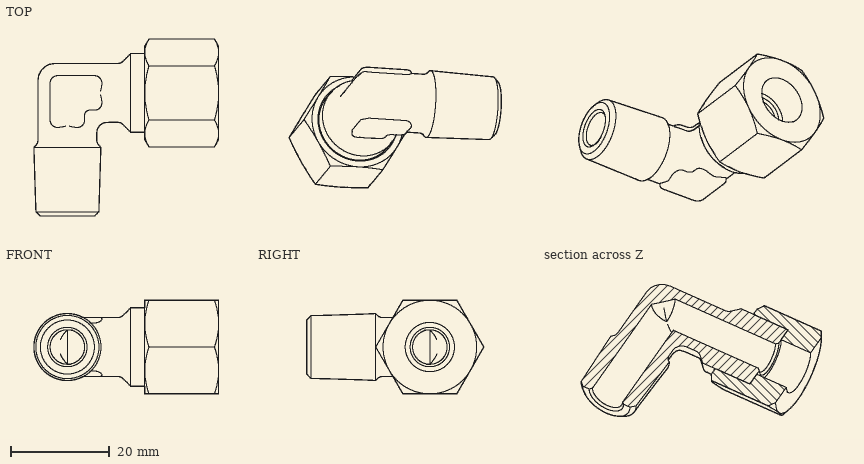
import cadquery as cq
import math


pipe_radius = 6.0
bore_radius = 3.5
drill_point_length = 3.4
bend_outer_radius = 3.5
bend_centre = pipe_radius - bend_outer_radius
crotch_fillet = 2.0
crotch_web_reach = 9.0
crotch_web_height = 5.3
shoulder_fillet = 1.5
shoulder_angle = math.radians(45)
half_shoulder_angle = shoulder_angle / 2

stud_length = 25.0
stud_start = 11.03
stud_radius = 6.82
stud_taper = 1 / 32
stud_end_chamfer = 0.9
bore_mouth_chamfer = 0.5

spigot_start = 12.85
spigot_radius = 8.0
spigot_length = 11.0
spigot_end = spigot_start + spigot_length

pad_height = pipe_radius
pad_back = 3.5
pad_reach = 7.0
pad_corner_radius = 1.5
pad_notch_radius = 1.0
pad_edge_fillet = 0.35

nut_across_flats = 19.0
nut_across_corners = nut_across_flats / math.cos(math.radians(30))
nut_length = 15.0
nut_start = 15.69
nut_end = nut_start + nut_length
nut_chamfer_angle = math.radians(30)
nut_mouth_chamfer = 0.27
tube_hole_radius = 5.0


def shouldered_leg(start, shoulder_end, shoulder_radius, outline_after):
    """Solid leg along +X: pipe, fillet into a conical shoulder, then the given (x, r) outline points."""
    corner = shoulder_end - (shoulder_radius - pipe_radius) / math.tan(shoulder_angle)
    tangent_length = shoulder_fillet * math.tan(half_shoulder_angle)
    fillet_start = corner - tangent_length
    fillet_mid = (
        fillet_start + shoulder_fillet * math.sin(half_shoulder_angle),
        pipe_radius + shoulder_fillet * (1 - math.cos(half_shoulder_angle)),
    )
    fillet_end = (
        fillet_start + shoulder_fillet * math.sin(shoulder_angle),
        pipe_radius + shoulder_fillet * (1 - math.cos(shoulder_angle)),
    )
    profile = (
        cq.Workplane("XY")
        .moveTo(start, 0)
        .lineTo(start, pipe_radius)
        .lineTo(fillet_start, pipe_radius)
        .threePointArc(fillet_mid, fillet_end)
        .lineTo(shoulder_end, shoulder_radius)
    )
    for point in outline_after:
        profile = profile.lineTo(*point)
    end = outline_after[-1][0]
    return profile.lineTo(end, 0).close().revolve(360, (0, 0, 0), (1, 0, 0))


def onto_stud_axis(leg):
    """Turn a leg built along +X onto -Y."""
    return leg.rotate((0, 0, 0), (0, 0, 1), -90)


def bend_corner():
    """Rounded outer corner: the outer part of the pipe section swung a quarter turn between the legs."""
    half_height = math.sqrt(pipe_radius**2 - bend_centre**2)
    return (
        cq.Workplane("XZ", origin=(-bend_centre, bend_centre, 0))
        .moveTo(0, -half_height)
        .threePointArc((-bend_outer_radius, 0), (0, half_height))
        .close()
        .revolve(90, (0, 0, 0), (0, -1, 0))
    )


def crotch_web():
    """Filleted inner corner between the pipes, cut off level where the pads hide its ends."""
    pipe = cq.Workplane("YZ").circle(pipe_radius).extrude(crotch_web_reach)
    slab_side = 4 * crotch_web_reach
    slab = cq.Workplane("XY").box(slab_side, slab_side, 2 * crotch_web_height)
    crossed_pipes = pipe.union(onto_stud_axis(pipe)).intersect(slab)
    crotch_region = cq.selectors.BoxSelector(
        (pad_back, -pad_back, -crotch_web_height),
        (pipe_radius, -pipe_radius, crotch_web_height),
    )
    return crossed_pipes.edges("%ELLIPSE").edges(crotch_region).fillet(crotch_fillet)


def pad_blank():
    """L-shaped block whose top and bottom faces are the two pads."""
    blank = (
        cq.Workplane("XY", origin=(0, 0, -pad_height))
        .moveTo(-pad_back, pad_back)
        .lineTo(pad_reach, pad_back)
        .lineTo(pad_reach, -pad_back)
        .lineTo(pad_back, -pad_back)
        .lineTo(pad_back, -pad_reach)
        .lineTo(-pad_back, -pad_reach)
        .close()
        .extrude(2 * pad_height)
    )
    notch = cq.selectors.NearestToPointSelector((pad_back, -pad_back, 0))
    blank = blank.edges(notch).fillet(pad_notch_radius)
    for corner in [
        (-pad_back, pad_back),
        (pad_reach, pad_back),
        (pad_reach, -pad_back),
        (pad_back, -pad_reach),
        (-pad_back, -pad_reach),
    ]:
        nearest = cq.selectors.NearestToPointSelector((*corner, 0))
        blank = blank.edges(nearest).fillet(pad_corner_radius)
    return blank.faces("|Z").edges().fillet(pad_edge_fillet)


def drilled_bore(length, mouth_chamfer):
    """Bore along +X out to the given length, with a conical drill point behind the origin."""
    profile = (
        cq.Workplane("XY")
        .moveTo(-drill_point_length, 0)
        .lineTo(0, bore_radius)
        .lineTo(length - mouth_chamfer, bore_radius)
        .lineTo(length, bore_radius + mouth_chamfer)
        .lineTo(length, 0)
        .close()
    )
    return profile.revolve(360, (0, 0, 0), (1, 0, 0))


def make_elbow():
    stud_end_radius = stud_radius - (stud_length - stud_start) * stud_taper
    stud_outline = [
        (stud_length - stud_end_chamfer, stud_end_radius + stud_end_chamfer * stud_taper),
        (stud_length, stud_end_radius - stud_end_chamfer),
    ]
    stud_leg = onto_stud_axis(shouldered_leg(-bend_centre, stud_start, stud_radius, stud_outline))
    threaded_leg = shouldered_leg(-bend_centre, spigot_start, spigot_radius, [(spigot_end, spigot_radius)])
    body = threaded_leg.union(stud_leg).union(bend_corner()).union(crotch_web()).union(pad_blank())

    stud_bore = onto_stud_axis(drilled_bore(stud_length, bore_mouth_chamfer))
    threaded_bore = drilled_bore(spigot_end, bore_mouth_chamfer)
    return body.cut(stud_bore.union(threaded_bore))


def make_nut():
    hexagon = (
        cq.Workplane("YZ", origin=(nut_start, 0, 0))
        .polygon(6, nut_across_corners)
        .extrude(nut_length)
    )

    face_radius = nut_across_flats / 2
    corner_radius = nut_across_corners / 2
    chamfer_depth = (corner_radius - face_radius) * math.tan(nut_chamfer_angle)
    chamfer_envelope = (
        cq.Workplane("XY")
        .moveTo(nut_start, 0)
        .lineTo(nut_start, face_radius)
        .lineTo(nut_start + chamfer_depth, corner_radius)
        .lineTo(nut_end - chamfer_depth, corner_radius)
        .lineTo(nut_end, face_radius)
        .lineTo(nut_end, 0)
        .close()
        .revolve(360, (0, 0, 0), (1, 0, 0))
    )

    hole = (
        cq.Workplane("XY")
        .moveTo(nut_start, 0)
        .lineTo(nut_start, spigot_radius + nut_mouth_chamfer)
        .lineTo(nut_start + nut_mouth_chamfer, spigot_radius)
        .lineTo(spigot_end, spigot_radius)
        .lineTo(spigot_end, tube_hole_radius)
        .lineTo(nut_end, tube_hole_radius)
        .lineTo(nut_end, 0)
        .close()
        .revolve(360, (0, 0, 0), (1, 0, 0))
    )
    return hexagon.intersect(chamfer_envelope).cut(hole)


elbow = make_elbow()
nut = make_nut()

result = cq.Compound.makeCompound([elbow.val(), nut.val()])